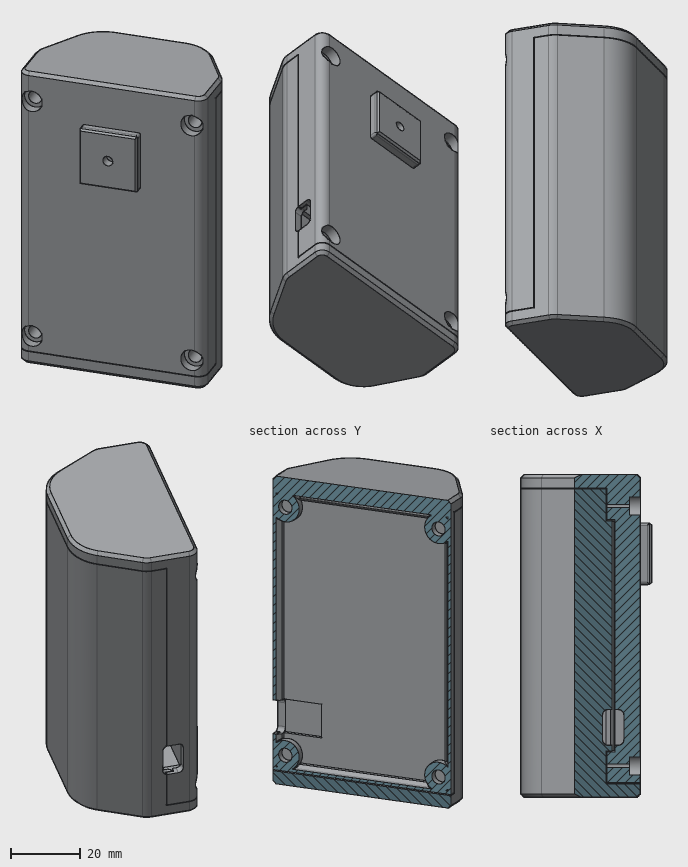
import cadquery as cq
import math

width = 56.9
depth = 34.65
height = 93.2
half_width = width / 2

side_depth = 15.8
slope_angle = math.radians(60)
back_half_width = half_width - (depth - side_depth) / math.tan(slope_angle)
front_corner_radius = 3.0
side_corner_radius = 5.0
back_corner_radius = 12.0
end_chamfer = 1.0

cap_thickness = 4.0
gap = 0.2
front_split = 9.8
rear_split = front_split + gap

side_wall = 2.45
front_wall = 2.0
lip_thickness = 1.2
lip_tip = 7.7
lip_chamfer = 1.0
cavity_width = width - 2 * side_wall
cavity_bottom = cap_thickness + gap + side_wall
cavity_top = height - cap_thickness - gap - side_wall
cavity_height = cavity_top - cavity_bottom
cavity_center = (cavity_top + cavity_bottom) / 2

screw_diameter = 4.1
head_diameter = 6.5
head_depth = 3.2
boss_diameter = 9.0
screw_edge_distance = 4.0
screw_spacing_x = width - 2 * screw_edge_distance
screw_spacing_z = 75.0

slot_front = 4.9
slot_back = 11.0
slot_height = 10.2
slot_center = 20.2
slot_corner_radius = 1.5
pocket_length = 12.0
pocket_relief = 0.2

button_size = 17.9
button_height = 3.2
button_center = 70.3
button_corner_radius = 0.8
button_hole_diameter = 3.0
button_shoulder_height = 1.9
button_bevel_height = 2.55
button_shoulder_inset = 0.15
button_rim_inset = 0.65


def box(size_x, y_start, y_end, z_start, z_end):
    """Block centred on X between the given Y and Z limits."""
    block = cq.Workplane("XY").box(size_x, y_end - y_start, z_end - z_start, centered=(True, False, False))
    return block.translate((0, y_start, z_start))


def front_plane(y, z=0.0):
    """Workplane facing +Y, with its local X along X and local Y along -Z."""
    return cq.Workplane(cq.Plane(origin=(0, y, z), xDir=(1, 0, 0), normal=(0, 1, 0)))


def case_envelope():
    """Whole outer shape of the closed case."""
    outline = [
        (-half_width, 0),
        (half_width, 0),
        (half_width, side_depth),
        (back_half_width, depth),
        (-back_half_width, depth),
        (-half_width, side_depth),
    ]
    case = cq.Workplane("XY").polyline(outline).close().extrude(height)

    def round_edges(solid, y, radius):
        """Fillet the vertical edges at one depth."""
        strip = cq.selectors.BoxSelector((-width, y - gap, 0), (width, y + gap, height))
        return solid.edges("|Z").edges(strip).fillet(radius)

    case = round_edges(case, 0, front_corner_radius)
    case = round_edges(case, side_depth, side_corner_radius)
    case = round_edges(case, depth, back_corner_radius)
    return case.faces("<Z or >Z").chamfer(end_chamfer)


def screw_cylinders(diameter, y_start, y_end):
    """One cylinder along Y at each of the four screw positions."""
    plane = front_plane(y_start, height / 2)
    return plane.rarray(screw_spacing_x, screw_spacing_z, 2, 2).circle(diameter / 2).extrude(y_end - y_start)


def connector_slot():
    """Rounded slot through the -X side wall, and the square pocket behind it."""
    slot = (
        cq.Workplane("XY")
        .box(side_wall, slot_back - slot_front, slot_height, centered=(False, False, True))
        .edges("|X")
        .fillet(slot_corner_radius)
    )
    pocket = cq.Workplane("XY").box(
        pocket_length, slot_back + pocket_relief - slot_front, slot_height, centered=(False, False, True)
    )
    return slot.union(pocket.translate((side_wall, 0, 0))).translate((-half_width, slot_front, slot_center))


def lip_block(clearance, tip):
    """Outer block of the lip, from its tip to the rear split face, grown by a clearance."""
    grow = lip_thickness + clearance
    return box(cavity_width + 2 * grow, tip, rear_split, cavity_bottom - grow, cavity_top + grow)


def make_front_shell(case):
    """Front shell with the top cap, hollow behind its front wall."""
    front_zone = box(width, 0, front_split, cap_thickness + gap, height)
    top_zone = box(width, 0, depth, height - cap_thickness, height)
    shell = case.intersect(front_zone.union(top_zone))

    cavity = box(cavity_width, front_wall, front_split, cavity_bottom, cavity_top)
    lip_rebate = lip_block(gap, lip_tip - gap)
    bosses = screw_cylinders(boss_diameter, front_wall, front_split)
    shell = shell.cut(cavity.union(lip_rebate).cut(bosses))

    shell = shell.cut(screw_cylinders(screw_diameter, 0, front_split))
    shell = shell.cut(screw_cylinders(head_diameter, 0, head_depth))
    return shell.cut(connector_slot())


def make_rear_body(case):
    """Rear body with the bottom cap and a locating lip around its split face."""
    back_zone = box(width, rear_split, depth, 0, height - cap_thickness - gap)
    bottom_zone = box(width, 0, depth, 0, cap_thickness)
    body = case.intersect(back_zone.union(bottom_zone))

    opening = box(cavity_width, lip_tip, rear_split, cavity_bottom, cavity_top)
    mouth = (
        front_plane(lip_tip, cavity_center)
        .rect(cavity_width + 2 * lip_chamfer, cavity_height + 2 * lip_chamfer)
        .workplane(offset=lip_chamfer)
        .rect(cavity_width, cavity_height)
        .loft(ruled=True)
    )
    lip = lip_block(0, lip_tip).cut(opening).cut(mouth)
    lip = lip.cut(screw_cylinders(boss_diameter + 2 * gap, lip_tip, rear_split))
    return body.union(lip).cut(connector_slot())


def make_button():
    """Square block with rounded corners, a double-bevelled rim and a centre hole."""
    block = box(
        button_size, -button_height, 0, button_center - button_size / 2, button_center + button_size / 2
    )
    block = block.edges("|Y").fillet(button_corner_radius)

    def bevelled_profile(plane):
        """Prism with the bevelled side profile of the block."""
        half = button_size / 2
        side = [
            (half, 0),
            (half, button_shoulder_height),
            (half - button_shoulder_inset, button_bevel_height),
            (half - button_rim_inset, button_height),
        ]
        mirrored = [(-x, y) for x, y in reversed(side)]
        return cq.Workplane(plane).polyline(side + mirrored).close().extrude(half, both=True)

    center = (0, 0, button_center)
    across_x = bevelled_profile(cq.Plane(origin=center, xDir=(1, 0, 0), normal=(0, 0, -1)))
    across_z = bevelled_profile(cq.Plane(origin=center, xDir=(0, 0, 1), normal=(1, 0, 0)))
    hole = front_plane(-button_height, button_center).circle(button_hole_diameter / 2).extrude(button_height)
    return block.intersect(across_x).intersect(across_z).cut(hole)


case = case_envelope()
front_shell = make_front_shell(case)
rear_body = make_rear_body(case)
button = make_button()

bodies = [front_shell, rear_body, button]
result = cq.Compound.makeCompound([body.solids().val() for body in bodies])